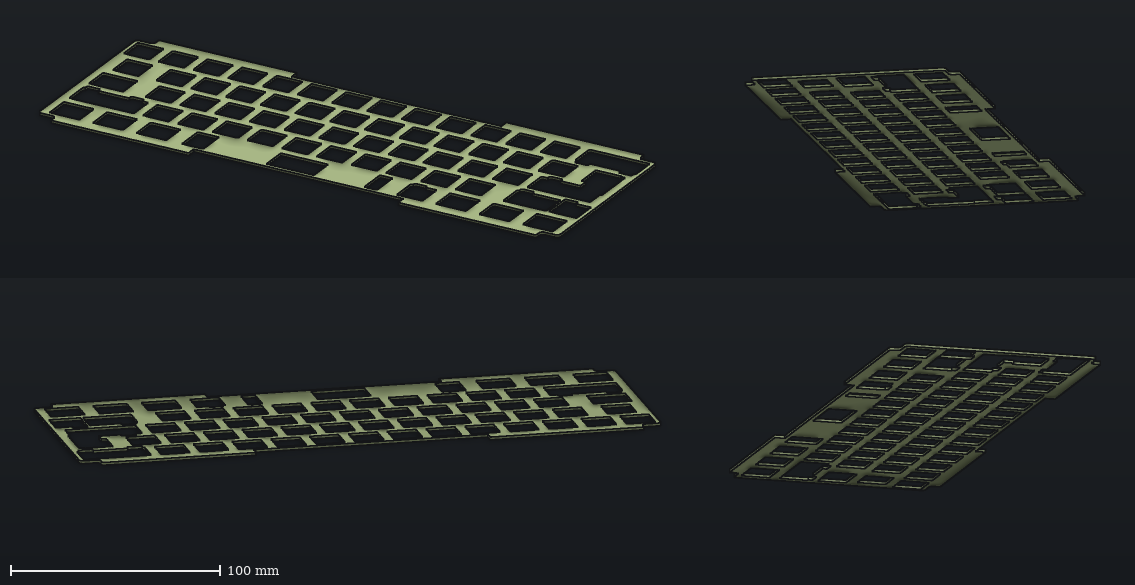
import cadquery as cq

length = 285.8
thickness = 1.5
unit = length / 15
steps_per_unit = 8
step = unit / steps_per_unit
body_depth = 5 * unit
overall_depth = 105.2
corner_radius = 2.0

tab_outer_inset = 9.7
tab_inner_inset = 85.5
tab_corner_radius = 0.51
tab_root_radius = 2.0

opening = 14.0
half_opening = opening / 2
opening_radius = 0.51
notch_width = 7.1
space_notch_width = 7.0
notch_reach = 2.15
space_notch_reach = 1.5
notch_radius = 1.0

key_stabilizer = 12.0
short_bar_stabilizer = 50.0
long_bar_stabilizer = 57.2

number_row, upper_row, home_row, lower_row, space_row = [rank * unit for rank in (2, 1, 0, -1, -2)]

single_key_runs = [
    (number_row, 4, 13),
    (upper_row, 6, 1),
    (upper_row, 16, 12),
    (home_row, 18, 11),
    (lower_row, 22, 10),
]

shared_openings = [
    (number_row, 108, 116),
    (home_row, 5, 7),
    (lower_row, 5, 14),
    (lower_row, 105, 109),
    (space_row, 5, 6),
    (space_row, 15, 16),
    (space_row, 25, 26),
    (space_row, 55, 60),
    (space_row, 85, 85),
    (space_row, 94, 95),
    (space_row, 104, 105),
    (space_row, 114, 115),
]

backspace_centre = 112
left_shift_centre = 9
right_shift_centre = 109
short_bar_centre = 55
long_bar_centre = 60

lower_end_key = 116

enter_upper_centre = 114
enter_lower_first = 106
enter_lower_centre = 111
enter_tall_centre = 115
enter_tall_top = 25.5


def plate_blank():
    body = cq.Workplane("XY").box(length, body_depth, thickness, centered=(True, True, False))
    body = body.edges("|Z").fillet(corner_radius)
    tab_length = tab_inner_inset - tab_outer_inset
    tab_offset = (length - tab_inner_inset - tab_outer_inset) / 2
    tabs = (
        cq.Workplane("XY")
        .pushPoints([(-tab_offset, 0), (tab_offset, 0)])
        .rect(tab_length, overall_depth)
        .extrude(thickness)
        .edges("|Z")
        .fillet(tab_corner_radius)
    )
    plate = body.union(tabs)
    for x in (tab_outer_inset, length - tab_outer_inset):
        for y in (-body_depth / 2, body_depth / 2):
            root = cq.selectors.NearestToPointSelector((x - length / 2, y, thickness / 2))
            plate = plate.edges("|Z").edges(root).fillet(tab_root_radius)
    return plate


def block(left, right, bottom, top):
    """Cutter through the plate; left and right are measured from the plate's left edge."""
    return (
        cq.Workplane("XY")
        .center((left + right - length) / 2, (bottom + top) / 2)
        .rect(right - left, top - bottom)
        .extrude(thickness)
    )


def row_opening(row, left, right):
    cutter = block(left, right, row - half_opening, row + half_opening)
    return cutter.edges("|Z").fillet(opening_radius)


def switch_opening(row, first, last):
    """Opening that takes a switch at any centre from first to last, in steps."""
    left = first * step - half_opening
    right = last * step + half_opening
    return row_opening(row, left, right)


def key_notches(row, centre, side=1):
    """Stabilizer notches of a wide key, above its switch opening (side 1) or below it (-1)."""
    far = row + side * (half_opening + notch_reach)
    notches = []
    for x in (centre * step - key_stabilizer, centre * step + key_stabilizer):
        notch = block(x - notch_width / 2, x + notch_width / 2, min(row, far), max(row, far))
        notches.append(notch.edges("|Z").fillet(notch_radius))
    return notches


def space_notches(centre, offset):
    """Stabilizer slots of a space bar, as deep as its row and reaching a little above it."""
    bottom = space_row - half_opening
    top = space_row + half_opening + space_notch_reach
    slots = []
    for x in (centre * step - offset, centre * step + offset):
        slot = block(x - space_notch_width / 2, x + space_notch_width / 2, bottom, top)
        slots.append(slot.edges("|Z").fillet(opening_radius))
    return slots


def lower_end_opening():
    left = right_shift_centre * step + key_stabilizer - notch_width / 2
    return row_opening(lower_row, left, lower_end_key * step + half_opening)


def enter_cutters():
    upper = switch_opening(upper_row, enter_upper_centre, enter_upper_centre)
    lower_left = enter_lower_first * step - half_opening
    lower_right = enter_lower_centre * step + key_stabilizer + notch_width / 2
    lower = row_opening(home_row, lower_left, lower_right)
    tall_x = enter_tall_centre * step
    tall_bottom = (upper_row + home_row) / 2 - half_opening
    tall = block(tall_x - half_opening, tall_x + half_opening, tall_bottom, enter_tall_top)
    tall = tall.edges("|Z").fillet(opening_radius)
    notches = key_notches(home_row, enter_lower_centre)
    return [upper, lower, tall] + notches


cutters = [switch_opening(row, first, last) for row, first, last in shared_openings]
for row, first, count in single_key_runs:
    for key in range(count):
        centre = first + key * steps_per_unit
        cutters.append(switch_opening(row, centre, centre))

cutters += key_notches(number_row, backspace_centre, side=-1)
cutters += key_notches(lower_row, left_shift_centre)
cutters += key_notches(lower_row, right_shift_centre)
cutters += space_notches(short_bar_centre, short_bar_stabilizer)
cutters += space_notches(long_bar_centre, long_bar_stabilizer)
cutters.append(lower_end_opening())
cutters += enter_cutters()

result = plate_blank()
for cutter in cutters:
    result = result.cut(cutter)